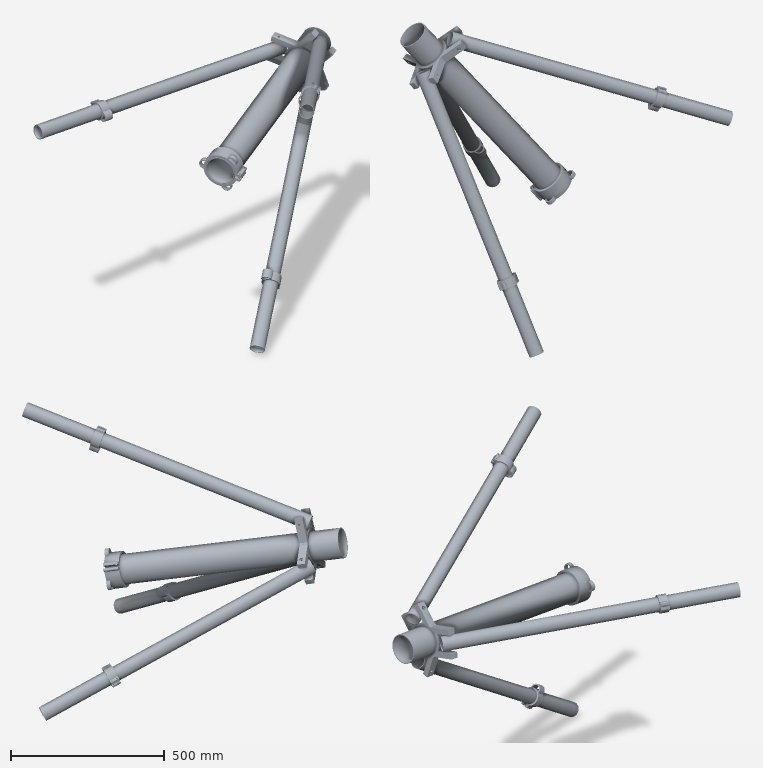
import cadquery as cq
import math


TUBE_DIAMETER = 100.0
TUBE_BORE = 95.0
TUBE_LENGTH = 799.0

LEG_ANGLES = [50, 170, 290]
LEG_TILT = 30
LEG_DIAMETER = 50.0
LEG_BORE = 46.0
LEG_LENGTH = 1001.0
LEG_END_TO_PIVOT = 25.0

BRACKET_HEIGHT = 28.0
BRACKET_TOP_DEPTH = 101.0
BRACKET_RING_DIAMETER = 120.0
ARM_GAP = 61.0
ARM_THICKNESS = 20.0
ARM_REACH = 115.0
PIVOT_RADIUS = 95.0
PIVOT_DEPTH = 116.0
PIVOT_HOLE = 8.2
NUT_ACROSS_CORNERS = 16.0
NUT_POCKET_DEPTH = 7.0

FOOT_CLAMP_BORE = 102.0
FOOT_CLAMP_DIAMETER = 119.0
FOOT_CLAMP_HEIGHT = 51.0
FOOT_LUG_LENGTH = 11.0
FOOT_LOOP_HEIGHT = 14.0
FOOT_SPLIT_ANGLE = LEG_ANGLES[1] + 180
FOOT_SCREW_HOLES = (7.4, 5.7)
LEG_CLAMP_DIAMETER = 61.0
LEG_CLAMP_HEIGHT = 30.0
LEG_CLAMP_FROM_PIVOT = 720.0
LEG_LUG_LENGTH = 7.0
LEG_SPLIT_ANGLE = 180
LEG_LOOP_ANGLES = [0]
LEG_SCREW_HOLES = (4.0, 3.2)
SPLIT_WIDTH = 8.0
LUG_THICKNESS = 9.0
LUG_EDGE_RADIUS = 3.0
SCREW_FROM_END = 6.0
LOOP_RADIUS = 18.0
LOOP_WALL = 4.0
LOOP_INSET = 1.0


def leg_plane(angle):
    """Plane at a leg's pivot: its normal runs down the leg and its X points in towards the centre tube."""
    turn = math.radians(angle)
    tilt = math.radians(LEG_TILT)
    out = cq.Vector(math.cos(turn), 0, math.sin(turn))
    down = cq.Vector(0, -1, 0)
    origin = out * PIVOT_RADIUS + down * PIVOT_DEPTH
    along = out * math.sin(tilt) + down * math.cos(tilt)
    inward = down * math.sin(tilt) - out * math.cos(tilt)
    return cq.Plane(origin=origin, xDir=inward, normal=along)


def make_tube():
    return cq.Workplane("XZ").circle(TUBE_DIAMETER / 2).circle(TUBE_BORE / 2).extrude(TUBE_LENGTH)


def make_bracket():
    top = cq.Workplane("XZ", origin=(0, -BRACKET_TOP_DEPTH, 0))
    bracket = top.circle(BRACKET_RING_DIAMETER / 2).extrude(BRACKET_HEIGHT)
    arm_offset = (ARM_GAP + ARM_THICKNESS) / 2
    for angle in LEG_ANGLES:
        arms = (
            top.transformed(rotate=(0, 0, angle))
            .pushPoints([(ARM_REACH / 2, -arm_offset), (ARM_REACH / 2, arm_offset)])
            .rect(ARM_REACH, ARM_THICKNESS)
            .extrude(BRACKET_HEIGHT)
        )
        bracket = bracket.union(arms)
    bracket = bracket.cut(top.circle(TUBE_DIAMETER / 2).extrude(BRACKET_HEIGHT))
    for angle in LEG_ANGLES:
        bracket = bracket.cut(make_pivot_hole(angle)).cut(make_nut_pocket(angle))
    return bracket


def pivot_workplane(angle):
    """Workplane at a leg's pivot whose normal runs along the pivot axis, anticlockwise around the tube."""
    return cq.Workplane(leg_plane(angle)).transformed(rotate=(90, 0, 0))


def make_pivot_hole(angle):
    """Cylinder across both arms and the leg."""
    return pivot_workplane(angle).circle(PIVOT_HOLE / 2).extrude(ARM_GAP / 2 + ARM_THICKNESS, both=True)


def make_nut_pocket(angle):
    """Hexagon sunk into the outer face of the arm on the anticlockwise side of the leg."""
    outer_face = pivot_workplane(angle).workplane(offset=ARM_GAP / 2 + ARM_THICKNESS)
    return outer_face.polygon(6, NUT_ACROSS_CORNERS).extrude(-NUT_POCKET_DEPTH)


def make_leg(angle):
    start = cq.Workplane(leg_plane(angle)).workplane(offset=-LEG_END_TO_PIVOT)
    leg = start.circle(LEG_DIAMETER / 2).circle(LEG_BORE / 2).extrude(LEG_LENGTH)
    return leg.cut(make_pivot_hole(angle))


def make_clamp(base, bore, diameter, height, split_angle, lug_length, screw_holes, loop_angles, loop_height):
    """Split ring with screw lugs beside the split, and strap loops that sit flush with its far face."""
    radius = diameter / 2
    clamp = base.circle(radius).extrude(height)
    clamp = clamp.union(make_lug_block(base, radius, height, split_angle, lug_length))
    for angle in loop_angles:
        clamp = clamp.union(make_loop(base, radius, height, angle, loop_height))
    clamp = clamp.cut(base.circle(bore / 2).extrude(height))
    split = base.transformed(rotate=(0, 0, split_angle)).center(radius, 0)
    clamp = clamp.cut(split.rect(2 * radius, SPLIT_WIDTH).extrude(height))
    for side, hole in zip((1, -1), screw_holes):
        clamp = clamp.cut(make_screw_holes(base, radius, height, split_angle, lug_length, side, hole))
    return clamp


def make_lug_block(base, radius, height, angle, lug_length):
    """Both lugs as one block from the clamp axis outwards, rounded along its two outer edges."""
    plane = base.transformed(rotate=(0, 0, angle))
    reach = radius + lug_length
    block = plane.center(reach / 2, 0).rect(reach, SPLIT_WIDTH + 2 * LUG_THICKNESS).extrude(height)
    tip = cq.selectors.DirectionMinMaxSelector(plane.plane.xDir, True)
    along_axis = cq.selectors.ParallelDirSelector(plane.plane.zDir)
    return block.faces(tip).edges(along_axis).fillet(LUG_EDGE_RADIUS)


def make_screw_holes(base, radius, height, angle, lug_length, side, hole):
    """Two screw holes, one near each end of the lug on one side of the split."""
    middle = base.transformed(rotate=(0, 0, angle)).transformed(
        offset=(radius + lug_length / 2, 0, height / 2), rotate=(-90, 0, 0)
    )
    spacing = height - 2 * SCREW_FROM_END
    depth = SPLIT_WIDTH / 2 + LUG_THICKNESS
    return middle.rarray(10, spacing, 1, 2).circle(hole / 2).extrude(side * depth)


def make_loop(base, radius, height, angle, loop_height):
    """Round strap loop centred just inside the rim of a clamp, flush with the clamp's far face."""
    plane = base.transformed(offset=(0, 0, height - loop_height), rotate=(0, 0, angle))
    ring = plane.center(radius - LOOP_INSET, 0).circle(LOOP_RADIUS).circle(LOOP_RADIUS - LOOP_WALL)
    return ring.extrude(loop_height)


def make_foot_clamp():
    base = cq.Workplane("XZ", origin=(0, FOOT_CLAMP_HEIGHT - TUBE_LENGTH, 0))
    return make_clamp(
        base, FOOT_CLAMP_BORE, FOOT_CLAMP_DIAMETER, FOOT_CLAMP_HEIGHT,
        FOOT_SPLIT_ANGLE, FOOT_LUG_LENGTH, FOOT_SCREW_HOLES, LEG_ANGLES, FOOT_LOOP_HEIGHT,
    )


def make_leg_clamp(angle):
    base = cq.Workplane(leg_plane(angle)).workplane(offset=LEG_CLAMP_FROM_PIVOT - LEG_CLAMP_HEIGHT / 2)
    return make_clamp(
        base, LEG_DIAMETER, LEG_CLAMP_DIAMETER, LEG_CLAMP_HEIGHT,
        LEG_SPLIT_ANGLE, LEG_LUG_LENGTH, LEG_SCREW_HOLES, LEG_LOOP_ANGLES, LEG_CLAMP_HEIGHT,
    )


tube = make_tube()
bracket = make_bracket()
foot_clamp = make_foot_clamp()
legs = [make_leg(angle) for angle in LEG_ANGLES]
leg_clamps = [make_leg_clamp(angle) for angle in LEG_ANGLES]

result = cq.Compound.makeCompound(
    [
        tube.val(),
        bracket.val(),
        foot_clamp.val(),
        *[leg.val() for leg in legs],
        *[clamp.val() for clamp in leg_clamps],
    ]
)